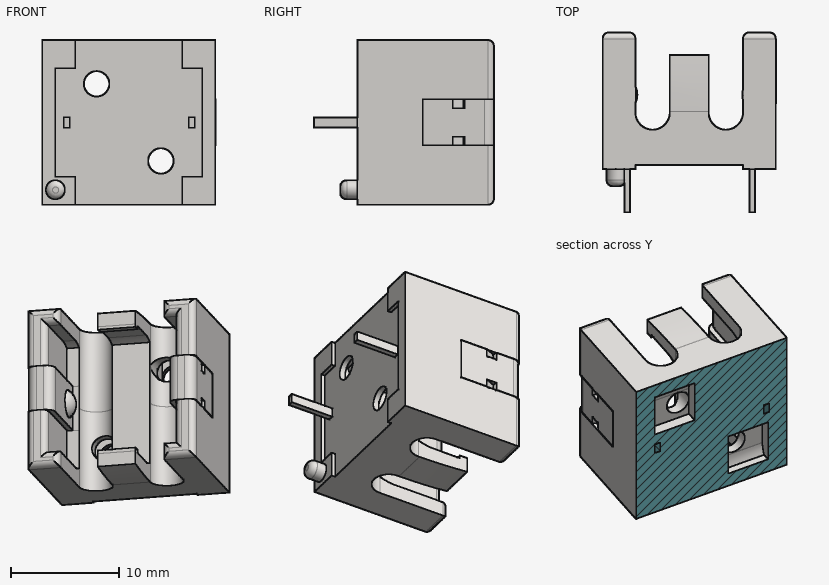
import cadquery as cq
import math

OVER = 0.83

WIDTH = 16.0
HEIGHT = 15.23
DEPTH = 12.62
ARM_WIDTH = 3.05
ARM_TIP_FILLET = 0.6

TONGUE_WIDTH = 3.61
SLOT_OUTER_X = WIDTH / 2 - ARM_WIDTH
SLOT_INNER_X = TONGUE_WIDTH / 2
SLOT_RADIUS = (SLOT_OUTER_X - SLOT_INNER_X) / 2
SLOT_CENTRE_X = (SLOT_OUTER_X + SLOT_INNER_X) / 2
SLOT_BOTTOM_Y = 3.65
SLOT_ARC_Y = SLOT_BOTTOM_Y + SLOT_RADIUS

TONGUE_ROOT_Y = 5.32
TONGUE_TIP_Y = 10.55
TONGUE_TOP_DROP = 0.25
HOOK_LENGTH = 0.8
HOOK_DROP = 0.3

SHELL_THICKNESS = 1.51
CAVITY_HALF_WIDTH = 6.12
CAVITY_HALF_HEIGHT = HEIGHT / 2 - SHELL_THICKNESS
CAVITY_BACK_Y = TONGUE_ROOT_Y
CAVITY_CURVE_LENGTH = 1.5
CAVITY_CURVE_DROP = 0.3

RECESS_DEPTH = 0.37
RECESS_HALF_WIDTH = 6.77
RECESS_HALF_HEIGHT = 5.0

HOLE_RADIUS = 1.16
HOLE_X = SLOT_INNER_X + HOLE_RADIUS
HOLE_Z = 3.56
POCKET_WALL = 0.58
POCKET_END_Y = 2.7
POCKET_OUTER_X = 5.99
POCKET_NEAR_Z = 1.73
POCKET_CURVE_Z = 4.82
POCKET_CURVE_RADIUS = 2.76

PEG_X = -6.77
PEG_Z = -6.22
PEG_RADIUS = 0.88
PEG_LENGTH = 1.6
PEG_FILLET = 0.6

CONTACT_SHIFT = 0.05
CONTACT_OUTER_X = WIDTH / 2
STRIP_THICKNESS = 0.53
STRIP_WIDTH = 4.24
FOLD_WIDTH = 2.5
FOLD_RADIUS = 0.91
FOLD_INNER_RADIUS = FOLD_RADIUS - STRIP_THICKNESS
STRIP_TIP_Y = DEPTH
OUTER_LEG_END_Y = 6.05
INNER_LEG_END_Y = CAVITY_BACK_Y
DOME_Y = 6.87
DOME_RADIUS = 1.58
DOME_TOP = 3.18
PIN_HEIGHT = 0.95
PIN_X = CONTACT_OUTER_X - FOLD_WIDTH + STRIP_THICKNESS / 2
PIN_LENGTH = 4.0
NOTCH_START_Y = 8.8
NOTCH_DEEP_Y = 9.78
NOTCH_END_Y = 9.91
NOTCH_HEIGHT = 0.8
NOTCH_DEPTH = 0.43


def block(x_range, y_range, z_range):
    """Box spanning three (low, high) ranges."""
    corner = (x_range[0], y_range[0], z_range[0])
    size = [high - low for low, high in (x_range, y_range, z_range)]
    return cq.Workplane("XY").box(*size, centered=False).translate(corner)


def mirrored_block(half_width, y_range, half_height):
    """Box centred on x = 0 and z = 0."""
    return block((-half_width, half_width), y_range, (-half_height, half_height))



def arm_core():
    """Middle of the +X arm that the contact strip is folded around."""
    inner_x = CONTACT_OUTER_X - FOLD_WIDTH + STRIP_THICKNESS
    outer_x = CONTACT_OUTER_X - STRIP_THICKNESS
    core = block(
        (inner_x, outer_x),
        (INNER_LEG_END_Y, STRIP_TIP_Y - STRIP_THICKNESS),
        (-STRIP_WIDTH / 2, STRIP_WIDTH / 2),
    )
    return core.faces(">Y").edges("|Z").fillet(FOLD_INNER_RADIUS)


def folded_strip():
    """U-shaped strip over the +X arm tip, with a shorter outer leg."""
    strip = block(
        (CONTACT_OUTER_X - FOLD_WIDTH, CONTACT_OUTER_X),
        (INNER_LEG_END_Y, STRIP_TIP_Y),
        (-STRIP_WIDTH / 2, STRIP_WIDTH / 2),
    )
    strip = strip.faces(">Y").edges("|Z").fillet(FOLD_RADIUS)
    below_outer_leg = block(
        (CONTACT_OUTER_X - STRIP_THICKNESS, CONTACT_OUTER_X + OVER),
        (INNER_LEG_END_Y - OVER, OUTER_LEG_END_Y),
        (-STRIP_WIDTH, STRIP_WIDTH),
    )
    return strip.cut(arm_core()).cut(below_outer_leg)


def contact_dome():
    """Round bump on the inner leg that reaches into the slot."""
    crown_x = CONTACT_OUTER_X - DOME_TOP
    leg_middle_x = CONTACT_OUTER_X - FOLD_WIDTH + STRIP_THICKNESS / 2
    ball = cq.Workplane("XY").sphere(DOME_RADIUS).translate((crown_x + DOME_RADIUS, DOME_Y, 0))
    return ball.intersect(block(
        (crown_x - OVER, leg_middle_x),
        (DOME_Y - DOME_RADIUS, DOME_Y + DOME_RADIUS),
        (-DOME_RADIUS, DOME_RADIUS),
    ))


def solder_pin():
    """Straight pin from the end of the inner leg out through the back face."""
    return block(
        (PIN_X - STRIP_THICKNESS / 2, PIN_X + STRIP_THICKNESS / 2),
        (-PIN_LENGTH, INNER_LEG_END_Y),
        (-PIN_HEIGHT / 2, PIN_HEIGHT / 2),
    )


def edge_notches():
    """Ramped notches in the upper and lower edges of the outer leg."""
    ramp = (
        cq.Workplane("XY")
        .moveTo(CONTACT_OUTER_X, NOTCH_START_Y)
        .lineTo(CONTACT_OUTER_X - NOTCH_DEPTH, NOTCH_DEEP_Y)
        .lineTo(CONTACT_OUTER_X, NOTCH_END_Y)
        .close()
        .extrude(NOTCH_HEIGHT)
    )
    upper = ramp.translate((0, 0, STRIP_WIDTH / 2 - NOTCH_HEIGHT))
    return upper.union(ramp.translate((0, 0, -STRIP_WIDTH / 2)))


def place(shape, side):
    """Move a shape made for the +X arm onto the arm on the given side."""
    placed = shape if side > 0 else shape.mirror("YZ")
    return placed.translate((CONTACT_SHIFT, 0, 0))


def contact(side):
    shape = folded_strip().union(contact_dome()).union(solder_pin()).cut(edge_notches())
    return place(shape, side)



def slotted_block():
    """Outer block with two round-bottomed slots that leave two arms and a middle."""
    body = mirrored_block(WIDTH / 2, (0, DEPTH), HEIGHT / 2)
    for side in (-1, 1):
        centre_x = side * SLOT_CENTRE_X
        body = body.cut(block(
            (centre_x - SLOT_RADIUS, centre_x + SLOT_RADIUS),
            (SLOT_ARC_Y, DEPTH + OVER),
            (-HEIGHT, HEIGHT),
        ))
        slot_end = cq.Workplane("XY").center(centre_x, SLOT_ARC_Y).circle(SLOT_RADIUS)
        body = body.cut(slot_end.extrude(HEIGHT, both=True))
    past_tongue_tips = mirrored_block(SLOT_OUTER_X, (TONGUE_TIP_Y, DEPTH + OVER), HEIGHT)
    return body.cut(past_tongue_tips)


def tongue_hook():
    """Inward hook along the upper tongue tip, running out sideways into the open slots."""
    return block(
        (-SLOT_CENTRE_X, SLOT_CENTRE_X),
        (TONGUE_TIP_Y - HOOK_LENGTH, TONGUE_TIP_Y),
        (CAVITY_HALF_HEIGHT - HOOK_DROP, CAVITY_HALF_HEIGHT + OVER),
    )


def cavity():
    """Space between the hooked tongues, open at the arm tips and curving in at the back."""
    drop = CAVITY_CURVE_DROP
    curve_radius = (CAVITY_CURVE_LENGTH ** 2 + drop ** 2) / (2 * drop)
    half_way = CAVITY_CURVE_LENGTH / 2
    half_way_z = CAVITY_HALF_HEIGHT - curve_radius + math.sqrt(curve_radius ** 2 - half_way ** 2)
    curve_start_y = CAVITY_BACK_Y + CAVITY_CURVE_LENGTH
    upper_half = (
        cq.Workplane("YZ")
        .moveTo(CAVITY_BACK_Y, 0)
        .lineTo(CAVITY_BACK_Y, CAVITY_HALF_HEIGHT - drop)
        .threePointArc((curve_start_y - half_way, half_way_z), (curve_start_y, CAVITY_HALF_HEIGHT))
        .lineTo(DEPTH + OVER, CAVITY_HALF_HEIGHT)
        .lineTo(DEPTH + OVER, 0)
        .close()
        .extrude(CAVITY_HALF_WIDTH, both=True)
    )
    upper_half = upper_half.cut(tongue_hook())
    return upper_half.union(upper_half.mirror("XY"))


def tongue_top_relief():
    """Material above the gently falling outer face of the upper tongue."""
    top_z = HEIGHT / 2
    length = TONGUE_TIP_Y - TONGUE_ROOT_Y
    top_radius = (length ** 2 + TONGUE_TOP_DROP ** 2) / (2 * TONGUE_TOP_DROP)
    half_way = length / 2
    half_way_z = top_z - top_radius + math.sqrt(top_radius ** 2 - half_way ** 2)
    return (
        cq.Workplane("YZ")
        .moveTo(TONGUE_ROOT_Y, top_z)
        .threePointArc((TONGUE_ROOT_Y + half_way, half_way_z), (TONGUE_TIP_Y, top_z - TONGUE_TOP_DROP))
        .lineTo(TONGUE_TIP_Y, top_z)
        .close()
        .extrude(SLOT_INNER_X, both=True)
    )


def back_recess():
    """Shallow recess that leaves a raised frame with four wide corners."""
    depth_range = (-OVER, RECESS_DEPTH)
    tall = mirrored_block(SLOT_OUTER_X, depth_range, HEIGHT)
    wide = mirrored_block(RECESS_HALF_WIDTH, depth_range, RECESS_HALF_HEIGHT)
    return tall.union(wide)


def lower_pocket():
    """Pocket inside the wall whose end face curves toward the back at its far side."""
    start_y = RECESS_DEPTH + POCKET_WALL
    curve_centre_y = POCKET_END_Y - POCKET_CURVE_RADIUS
    far_angle = math.asin((CAVITY_HALF_HEIGHT - POCKET_CURVE_Z) / POCKET_CURVE_RADIUS)

    def curve_point(angle):
        return (
            curve_centre_y + POCKET_CURVE_RADIUS * math.cos(angle),
            -POCKET_CURVE_Z - POCKET_CURVE_RADIUS * math.sin(angle),
        )

    return (
        cq.Workplane("YZ", origin=(SLOT_INNER_X, 0, 0))
        .moveTo(start_y, -POCKET_NEAR_Z)
        .lineTo(POCKET_END_Y, -POCKET_NEAR_Z)
        .lineTo(POCKET_END_Y, -POCKET_CURVE_Z)
        .threePointArc(curve_point(far_angle / 2), curve_point(far_angle))
        .lineTo(start_y, -CAVITY_HALF_HEIGHT)
        .close()
        .extrude(POCKET_OUTER_X - SLOT_INNER_X)
    )


def lower_hole_and_pocket():
    """Hole from the back into the +X slot, running through the pocket."""
    hole = cq.Workplane("XZ").center(HOLE_X, -HOLE_Z).circle(HOLE_RADIUS).extrude(-SLOT_ARC_Y)
    return hole.union(lower_pocket())


def contact_groove():
    """Groove around the +X arm tip for the strip, open to the slot, plus the pin passage."""
    inner_x = CONTACT_OUTER_X - ARM_WIDTH - OVER
    z_range = (-STRIP_WIDTH / 2, STRIP_WIDTH / 2)
    leg_face_x = CONTACT_OUTER_X - FOLD_WIDTH + STRIP_THICKNESS
    around_tip = block((inner_x, CONTACT_OUTER_X + OVER), (OUTER_LEG_END_Y, DEPTH + OVER), z_range)
    leg_end = block((inner_x, leg_face_x), (INNER_LEG_END_Y, OUTER_LEG_END_Y), z_range)
    return around_tip.union(leg_end).cut(arm_core()).union(solder_pin())


def locating_peg():
    peg = cq.Workplane("XZ").center(PEG_X, PEG_Z).circle(PEG_RADIUS).extrude(PEG_LENGTH)
    return peg.faces("<Y").edges().fillet(PEG_FILLET)


def build_housing():
    body = slotted_block().cut(cavity())
    body = body.faces(">Y").edges().fillet(ARM_TIP_FILLET)
    body = body.cut(tongue_top_relief()).cut(tongue_top_relief().mirror("XY"))
    body = body.cut(back_recess())
    lower_hole = lower_hole_and_pocket()
    upper_hole = lower_hole.rotate((0, 0, 0), (0, 1, 0), 180)
    body = body.cut(lower_hole).cut(upper_hole)
    for side in (-1, 1):
        body = body.cut(place(contact_groove(), side))
    return body.union(locating_peg())


housing = build_housing()
contacts = [contact(side) for side in (-1, 1)]

result = cq.Compound.makeCompound([housing.val(), *[body.val() for body in contacts]])